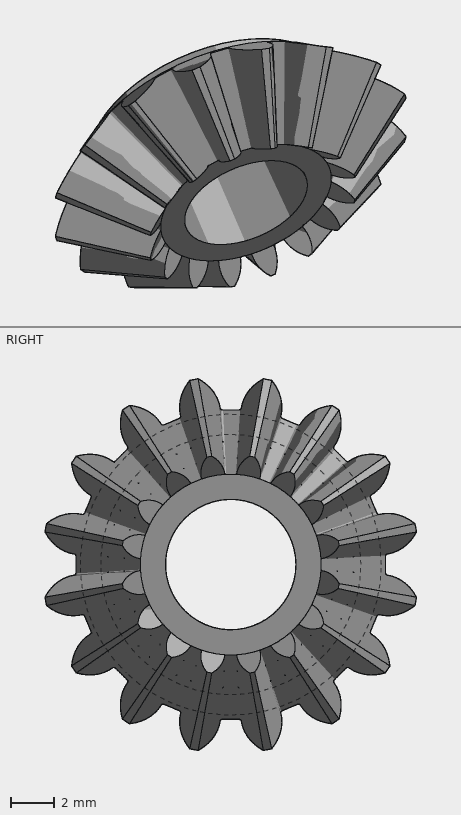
import cadquery as cq
import math


outer_size = 17.15
overall_length = 5.75
teeth = 16
pitch_cone_angle = 45.0
bore_diameter = 6.0
hub_diameter = 12.0
hub_length = 0.95
mounting_in_modules = 10.0
dedendum_in_modules = 1.2

tip_half_angle = 1.3
pitch_half_angle = 5.6
root_half_angle = 7.5
root_fillet = 0.14

half_pitch_angle = 180.0 / teeth
cone = math.radians(pitch_cone_angle)
tip_radius = outer_size / 2 / math.cos(math.radians(half_pitch_angle - tip_half_angle))
module = tip_radius / (teeth / 2 + math.cos(cone))
pitch_radius = module * teeth / 2
dedendum = dedendum_in_modules * module
root_radius = pitch_radius - dedendum * math.cos(cone)
apex_x = mounting_in_modules * module
pitch_x = apex_x - pitch_radius / math.tan(cone)
tip_x = pitch_x + module * math.sin(cone)
root_x = pitch_x - dedendum * math.sin(cone)
rim_radius = tip_radius - (tip_x - hub_length) / math.tan(cone)

small_end_scale = (apex_x - overall_length) / (apex_x - tip_x)
small_tip_radius = tip_radius * small_end_scale
small_root_radius = root_radius * small_end_scale
front_face_x = apex_x - (apex_x - root_x) * small_end_scale


def make_blank():
    """Turned blank: hub, back cone, face cone, small-end cone, flat front and bore."""
    bore_radius = bore_diameter / 2
    hub_radius = hub_diameter / 2
    profile = [
        (0, bore_radius),
        (0, hub_radius),
        (hub_length, hub_radius),
        (hub_length, rim_radius),
        (tip_x, tip_radius),
        (overall_length, small_tip_radius),
        (front_face_x, small_root_radius),
        (front_face_x, bore_radius),
    ]
    return cq.Workplane("XY").polyline(profile).close().revolve(360, (0, 0, 0), (1, 0, 0))


def space_wire(x):
    """Outline of the tooth space on the +Z axis, in the plane at x.

    Every point lies on a line through the apex, so outlines at different x are similar.
    """
    clearance = 1.2

    def point(radius, station_x, tooth_half_angle, side, reach=1.0):
        plane_radius = reach * radius * (apex_x - x) / (apex_x - station_x)
        angle = side * math.radians(half_pitch_angle - tooth_half_angle)
        return cq.Vector(x, plane_radius * math.sin(angle), plane_radius * math.cos(angle))

    def flank_points(side):
        return (
            point(root_radius, root_x, root_half_angle, side),
            point(pitch_radius, pitch_x, pitch_half_angle, side),
            point(tip_radius, tip_x, tip_half_angle, side),
            point(tip_radius, tip_x, tip_half_angle, side, clearance),
        )

    left_root, left_pitch, left_tip, left_top = flank_points(-1)
    right_root, right_pitch, right_tip, right_top = flank_points(1)
    outline = cq.Wire.assembleEdges([
        cq.Edge.makeLine(left_root, right_root),
        cq.Edge.makeThreePointArc(right_root, right_pitch, right_tip),
        cq.Edge.makeLine(right_tip, right_top),
        cq.Edge.makeLine(right_top, left_top),
        cq.Edge.makeLine(left_top, left_tip),
        cq.Edge.makeThreePointArc(left_tip, left_pitch, left_root),
    ])
    root_corners = sorted(outline.Vertices(), key=lambda vertex: vertex.Z)[:2]
    fillet = root_fillet * (apex_x - x) / (apex_x - root_x)
    return outline.fillet2D(fillet, root_corners)


def make_tooth_space():
    """Tapered cutter running from the hub face to the overall length."""
    return cq.Solid.makeLoft([space_wire(0), space_wire(overall_length)], True)


result = make_blank()
tooth_space = make_tooth_space()
for index in range(teeth):
    result = result.cut(cq.Workplane(tooth_space.rotate(
        cq.Vector(0, 0, 0), cq.Vector(1, 0, 0), index * 2 * half_pitch_angle)))